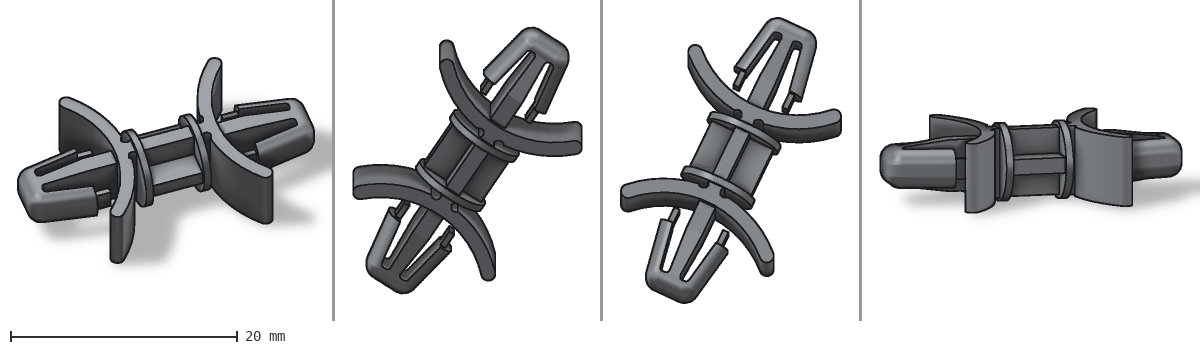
import cadquery as cq
import math


half_length = 13.35

disc_diameter = 6.9
disc_thickness = 0.67
disc_outer_y = 3.05
post_width = 6.0
post_rib_thickness = 1.4

wing_height = 6.2
wing_span = 14.8
wing_inner_radius = 9.08
wing_thickness = 1.25
wing_inner_y = 4.8
wing_end_radius = wing_thickness / 2
wing_middle_radius = wing_inner_radius + wing_end_radius
wing_outer_radius = wing_inner_radius + wing_thickness
wing_center_y = wing_inner_y + wing_inner_radius
wing_half_angle = math.asin((wing_span / 2 - wing_end_radius) / wing_middle_radius)

notch_radius = 0.43
notch_x = 1.05
notch_y = 3.42

head_height = 3.5
head_base_y = 7.55
head_base_width = 6.55
head_side_angle = math.radians(10)
head_fillet = 1.23
slot_end_y = 11.85
slot_base_half_width = 2.1
slot_corner_fillet = 0.32

stem_width = 1.55
stem_height = 4.62
stem_end_width = 1.01
stem_end_height = head_height

tab_thickness = 0.53
tab_length = 1.47
tab_height = 1.82


def make_post():
    """Cross-section post running through both discs."""
    length = 2 * disc_outer_y
    flat_rib = cq.Workplane("XY").box(post_width, length, post_rib_thickness)
    upright_rib = cq.Workplane("XY").box(post_rib_thickness, length, post_width)
    return flat_rib.union(upright_rib)


def make_disc():
    """Round flange closing one end of the post."""
    plane = cq.Workplane("XZ", origin=(0, disc_outer_y, 0))
    return plane.circle(disc_diameter / 2).extrude(disc_thickness)


def wing_point(radius, angle):
    """Point on a wing arc, with the angle measured from the middle of the wing."""
    return (radius * math.sin(angle), wing_center_y - radius * math.cos(angle))


def make_wing():
    """Arc-shaped band opening towards the head, with round ends."""
    angle = wing_half_angle
    end_x, end_y = wing_point(wing_middle_radius, angle)
    end_cap_x = end_x + wing_end_radius * math.cos(angle)
    end_cap_y = end_y + wing_end_radius * math.sin(angle)
    return (
        cq.Workplane("XY")
        .moveTo(*wing_point(wing_inner_radius, -angle))
        .threePointArc(wing_point(wing_inner_radius, 0), wing_point(wing_inner_radius, angle))
        .threePointArc((end_cap_x, end_cap_y), wing_point(wing_outer_radius, angle))
        .threePointArc(wing_point(wing_outer_radius, 0), wing_point(wing_outer_radius, -angle))
        .threePointArc((-end_cap_x, end_cap_y), wing_point(wing_inner_radius, -angle))
        .close()
        .extrude(wing_height / 2, both=True)
    )


def make_neck():
    """Plain block joining the disc to the wing, before the notches are cut."""
    length = wing_inner_y - disc_outer_y
    center_y = (wing_inner_y + disc_outer_y) / 2
    return cq.Workplane("XY", origin=(0, center_y, 0)).box(2 * notch_x, length, wing_height)


def make_notches():
    """Round cutters that waist the neck from both sides."""
    centers = [(-notch_x, notch_y), (notch_x, notch_y)]
    return cq.Workplane("XY").pushPoints(centers).circle(notch_radius).extrude(wing_height / 2, both=True)


def make_head_blank():
    """Tapered block with rounded sides and a rounded tip."""
    base = head_base_width / 2
    tip = base - (half_length - head_base_y) * math.tan(head_side_angle)
    outline = [(-base, head_base_y), (base, head_base_y), (tip, half_length), (-tip, half_length)]
    block = cq.Workplane("XY").polyline(outline).close().extrude(head_height / 2, both=True)
    block = block.faces("<X or >X").edges("<Z or >Z").fillet(head_fillet)
    return block.faces(">Y").edges().fillet(head_fillet)


def make_head_opening():
    """Opening between the two arms, narrowing towards the tip."""
    base = slot_base_half_width
    end = base - (slot_end_y - head_base_y) * math.tan(head_side_angle)
    outline = [(-base, head_base_y), (base, head_base_y), (end, slot_end_y), (-end, slot_end_y)]
    return cq.Workplane("XY").polyline(outline).close().extrude(head_height, both=True)


def make_stem():
    """Rectangular bar from the wing to the head, straight and then tapered."""
    straight_length = head_base_y - wing_inner_y
    straight = (
        cq.Workplane("XZ", origin=(0, head_base_y, 0))
        .rect(stem_width, stem_height)
        .extrude(straight_length)
    )
    taper_length = slot_end_y - head_base_y
    taper = (
        cq.Workplane("XZ", origin=(0, head_base_y, 0))
        .rect(stem_width, stem_height)
        .workplane(offset=-taper_length)
        .rect(stem_end_width, stem_end_height)
        .loft(ruled=True)
    )
    return straight.union(taper)


def make_tabs():
    """Thin tabs reaching from the arm ends back towards the wing."""
    tab_x = slot_base_half_width + tab_thickness / 2
    centers = [(-tab_x, 0), (tab_x, 0)]
    plane = cq.Workplane("XZ", origin=(0, head_base_y, 0))
    return plane.pushPoints(centers).rect(tab_thickness, tab_height).extrude(tab_length)


def make_head():
    """Snap head on its stem, with the closed corners of the two slots rounded."""
    arms = make_head_blank().cut(make_head_opening())
    head = arms.union(make_stem())
    reach = slot_corner_fillet
    slot_corners = cq.selectors.BoxSelector(
        (-slot_base_half_width, slot_end_y - reach, -reach),
        (slot_base_half_width, slot_end_y + reach, reach),
    )
    head = head.edges(slot_corners).fillet(slot_corner_fillet)
    return head.union(make_tabs())


def make_end():
    """Everything on the +Y end: disc, spring wing and snap head."""
    spring = make_wing().union(make_neck()).cut(make_notches())
    return make_disc().union(spring).union(make_head())


end = make_end()
result = make_post().union(end).union(end.mirror("XZ"))